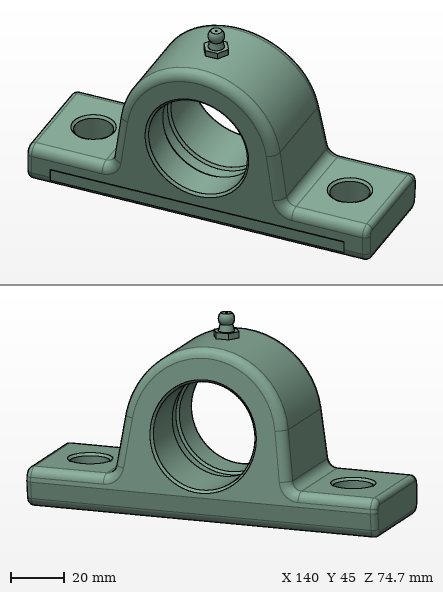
import cadquery as cq
import math

LENGTH = 140.0
DEPTH = 45.0
BASE_HEIGHT = 15.1
FOLD_HEIGHT = 10.0
REAR_LEAN = 7.2

BORE_HEIGHT = 32.9
BORE_DIAMETER = 40.5
BORE_CHAMFER = 1.0
ARCH_RADIUS = 32.6
FLANK_DRAFT = 8.0
ARCH_TOP = BORE_HEIGHT + ARCH_RADIUS

LONG_EDGE_RADIUS = 3.9
END_EDGE_RADIUS = 2.2
FLANK_FILLET = 3.9

FOOT_HOLE_DIAMETER = 15.0
FOOT_HOLE_X = 52.5
FOOT_HOLE_CHAMFER = 1.0

LABEL_LENGTH = 120.4
LABEL_TOP = 7.3
LABEL_DEPTH = 0.3

FITTING_Y = 17.5
GROOVE_WIDTH = 7.4
GROOVE_DEPTH = 1.0
HEX_FLATS = 8.7
HEX_CORNERS = HEX_FLATS / math.cos(math.pi / 6)
HEX_HEIGHT = 2.4
NECK_BASE_RADIUS = 3.1
NECK_TOP_RADIUS = 2.4
BALL_RADIUS = 3.1
BALL_FLAT_RADIUS = 2.1
FITTING_HEIGHT = 9.2
NOZZLE_DIAMETER = 0.7
NOZZLE_DEPTH = 1.4


def front_outline():
    """Base and arch outline in XZ, extruded past the deepest point."""
    draft = math.radians(FLANK_DRAFT)
    tangent_x = ARCH_RADIUS * math.cos(draft)
    tangent_z = BORE_HEIGHT + ARCH_RADIUS * math.sin(draft)
    root_x = tangent_x + (tangent_z - BASE_HEIGHT) * math.tan(draft)
    half = LENGTH / 2
    prism = (
        cq.Workplane("XZ")
        .moveTo(-half, 0)
        .lineTo(half, 0)
        .lineTo(half, BASE_HEIGHT)
        .lineTo(root_x, BASE_HEIGHT)
        .lineTo(tangent_x, tangent_z)
        .threePointArc((0, ARCH_TOP), (-tangent_x, tangent_z))
        .lineTo(-root_x, BASE_HEIGHT)
        .lineTo(-half, BASE_HEIGHT)
        .close()
        .extrude(-DEPTH)
    )
    roots = cq.selectors.BoxSelector(
        (-root_x - 1.4, 0, BASE_HEIGHT - 1.4), (root_x + 1.4, DEPTH, BASE_HEIGHT + 1.4)
    )
    return prism.edges("|Y").edges(roots).fillet(FLANK_FILLET)


def side_outline():
    """Depth outline in YZ: upright front, rear leaning in from the fold."""
    lean = math.tan(math.radians(REAR_LEAN))
    return (
        cq.Workplane("YZ")
        .moveTo(0, 0)
        .lineTo(DEPTH - FOLD_HEIGHT * lean, 0)
        .lineTo(DEPTH, FOLD_HEIGHT)
        .lineTo(DEPTH - (ARCH_TOP - FOLD_HEIGHT) * lean, ARCH_TOP)
        .lineTo(0, ARCH_TOP)
        .close()
        .extrude(LENGTH / 2, both=True)
    )


def round_edges(body):
    """Round the front and rear rims, then the two end faces."""
    fold_edge = cq.selectors.BoxSelector(
        (-1.4, DEPTH - 0.1, FOLD_HEIGHT - 0.1), (1.4, DEPTH + 0.1, FOLD_HEIGHT + 0.1)
    )
    end_edges = body.faces("<X or >X").edges()
    side_edges = body.edges("|Y").add(end_edges).add(body.edges(fold_edge))
    kept = {edge.hashCode() for edge in side_edges.vals()}
    rims = [edge for edge in body.edges().vals() if edge.hashCode() not in kept]
    rounded = body.newObject(rims).fillet(LONG_EDGE_RADIUS)
    return rounded.faces("<X or >X").edges().fillet(END_EDGE_RADIUS)


def bore_cutter():
    """Through bore with a grease groove."""
    axis_plane = cq.Workplane("XZ", origin=(0, 0, BORE_HEIGHT))
    bore_radius = BORE_DIAMETER / 2
    bore = axis_plane.circle(bore_radius).extrude(-DEPTH)
    mouth_half = GROOVE_WIDTH / 2
    floor_half = mouth_half - GROOVE_DEPTH
    floor_radius = bore_radius + GROOVE_DEPTH
    groove = (
        cq.Workplane("XY")
        .moveTo(0, -mouth_half)
        .lineTo(bore_radius, -mouth_half)
        .lineTo(floor_radius, -floor_half)
        .lineTo(floor_radius, floor_half)
        .lineTo(bore_radius, mouth_half)
        .lineTo(0, mouth_half)
        .close()
        .revolve(360, (0, 0), (0, 1))
        .translate((0, FITTING_Y, BORE_HEIGHT))
    )
    return bore.union(groove)


def chamfer_bore_rims(body):
    """Break the bore edge on the front face and on the leaning rear face."""
    reach = BORE_DIAMETER / 2 + 1.4
    bore_bounds = cq.selectors.BoxSelector(
        (-reach, -1.4, BORE_HEIGHT - reach), (reach, DEPTH + 1.4, BORE_HEIGHT + reach), boundingbox=True
    )
    rims = body.edges(bore_bounds).edges("<Y or >Y")
    return rims.chamfer(BORE_CHAMFER)


def foot_hole_cutter(x):
    """Vertical foot hole, chamfered at the top."""
    radius = FOOT_HOLE_DIAMETER / 2
    hole = cq.Workplane("XY").circle(radius).extrude(BASE_HEIGHT)
    mouth = cq.Workplane(
        cq.Solid.makeCone(
            radius, radius + FOOT_HOLE_CHAMFER, FOOT_HOLE_CHAMFER,
            cq.Vector(0, 0, BASE_HEIGHT - FOOT_HOLE_CHAMFER), cq.Vector(0, 0, 1),
        )
    )
    return hole.union(mouth).translate((x, DEPTH / 2, 0))


def make_housing():
    body = round_edges(front_outline().intersect(side_outline()))
    body = chamfer_bore_rims(body.cut(bore_cutter()))
    for x in (-FOOT_HOLE_X, FOOT_HOLE_X):
        body = body.cut(foot_hole_cutter(x))
    label = cq.Workplane("XY").box(
        LABEL_LENGTH, LABEL_DEPTH, LABEL_TOP, centered=(True, False, False)
    )
    return body.cut(label)


def make_fitting():
    """Hexagonal foot, tapered neck and flat-topped ball with a nozzle hole."""
    hexagon = (
        cq.Workplane("XY")
        .polygon(6, HEX_CORNERS)
        .extrude(HEX_HEIGHT)
    )
    ball_centre = FITTING_HEIGHT - math.sqrt(BALL_RADIUS**2 - BALL_FLAT_RADIUS**2)
    neck_top = ball_centre - math.sqrt(BALL_RADIUS**2 - NECK_TOP_RADIUS**2)
    stem = (
        cq.Workplane("XZ")
        .moveTo(0, HEX_HEIGHT)
        .lineTo(NECK_BASE_RADIUS, HEX_HEIGHT)
        .lineTo(NECK_TOP_RADIUS, neck_top)
        .threePointArc((BALL_RADIUS, ball_centre), (BALL_FLAT_RADIUS, FITTING_HEIGHT))
        .lineTo(0, FITTING_HEIGHT)
        .close()
        .revolve(360, (0, 0), (0, 1))
    )
    nozzle = (
        cq.Workplane("XY", origin=(0, 0, FITTING_HEIGHT - NOZZLE_DEPTH))
        .circle(NOZZLE_DIAMETER / 2)
        .extrude(NOZZLE_DEPTH)
    )
    return hexagon.union(stem).cut(nozzle).translate((0, FITTING_Y, ARCH_TOP))


housing = make_housing()
grease_fitting = make_fitting()

result = cq.Compound.makeCompound([housing.val(), grease_fitting.val()])